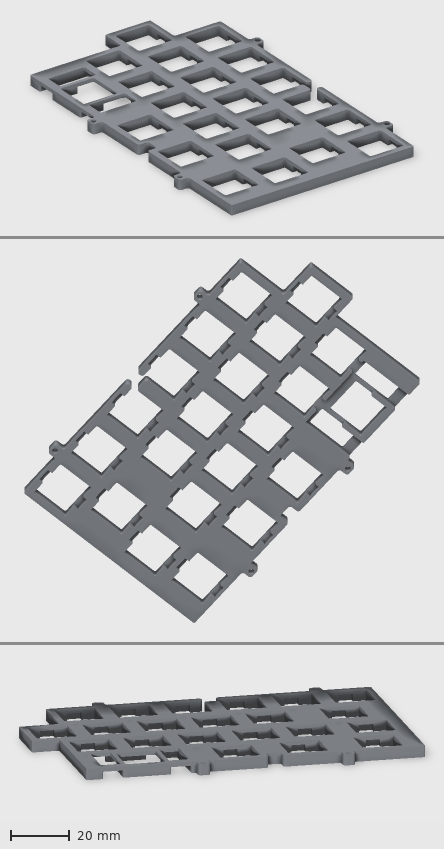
import cadquery as cq

PLATE_LENGTH = 128.5
OVERALL_DEPTH = 83.4
THICKNESS = 4.0
WEB = 1.4

KEYS_ACROSS = 6.75
ROWS = 4
EDGE_GAP = 0.05
PITCH = (PLATE_LENGTH + 2 * EDGE_GAP) / KEYS_ACROSS
PLATE_DEPTH = ROWS * PITCH - 2 * EDGE_GAP
KEY_CUTOUT = 14.0
CORNER_RADIUS = 0.5
SOFT_RADIUS = 1.0

ROW_KEYS = [
    [1.625, 3.375, 4.625, 6.0],
    [1.0, 2.0, 3.0, 4.0, 5.0, 6.125],
    [0.5, 1.5, 2.5, 3.5, 4.5, 5.875],
    [1.25, 2.25, 3.25, 4.25, 5.25, 6.25],
]
WIDE_KEY = (ROW_KEYS[0][0], 0)

LOWER_ROWS_INDENT = 0.5 * PITCH
TOP_ROW_INDENT = 0.75 * PITCH
TOP_STEP_DROP = 0.3

CLIP_WIDTH = 5.0
CLIP_DEPTH = 1.8

STABILIZER_OFFSET = 12.0
STABILIZER_WIDTH = 7.1
STABILIZER_FRONT = -6.0
STABILIZER_BACK = 9.0
POCKET_FRONT = 0.1
POCKET_BACK = 10.8

EAR_WIDTH = 4.1
EAR_LENGTH = (OVERALL_DEPTH - PLATE_DEPTH) / 2
EAR_HOLE = 2.0
EAR_HOLE_REACH = 2.2
BACK_EARS = [33.3, 109.5]
FRONT_EARS = [50.1, 101.0]

RIM_GAP_CENTER = 3.75 * PITCH - EDGE_GAP
RIM_GAP_WIDTH = PITCH - KEY_CUTOUT
RIM_GAP_DEPTH = 4.1
RIM_END_RADIUS = 1.2
FRONT_NOTCH_CENTER = 4 * PITCH - EDGE_GAP
FRONT_NOTCH_WIDTH = 5.3
FRONT_NOTCH_DEPTH = 4.0

OVERCUT = 1.3


def box(x_min, x_max, y_min, y_max, height=THICKNESS):
    """Box standing on the underside of the plate."""
    size = (x_max - x_min, y_max - y_min, height)
    return cq.Workplane("XY").box(*size, centered=False).translate((x_min, y_min, 0))


def key_center(column, row):
    """Centre of a key; the origin is the plate's front-left corner."""
    return column * PITCH - EDGE_GAP, (row + 0.5) * PITCH - EDGE_GAP


def round_corners(body, points, radius):
    """Fillet the vertical edges that stand at the given XY points."""
    reach = 0.01
    for x, y in points:
        corner = (x - reach, y - reach, -reach), (x + reach, y + reach, THICKNESS + reach)
        body = body.edges(cq.selectors.BoxSelector(*corner, boundingbox=True)).fillet(radius)
    return body


def make_outline():
    """Plate with its stepped left edge."""
    step_low = 2 * PITCH
    step_high = 3 * PITCH - TOP_STEP_DROP
    points = [
        (LOWER_ROWS_INDENT, 0),
        (PLATE_LENGTH, 0),
        (PLATE_LENGTH, PLATE_DEPTH),
        (TOP_ROW_INDENT, PLATE_DEPTH),
        (TOP_ROW_INDENT, step_high),
        (0, step_high),
        (0, step_low),
        (LOWER_ROWS_INDENT, step_low),
    ]
    plate = cq.Workplane("XY").polyline(points).close().extrude(THICKNESS)
    inner_corner = (TOP_ROW_INDENT, step_high)
    plate = round_corners(plate, [inner_corner], SOFT_RADIUS)
    others = [point for point in points if point != inner_corner]
    return round_corners(plate, others, CORNER_RADIUS)


def add_ear(plate, x, edge_y, outward):
    """Screw ear on the edge at edge_y; outward is +1 to the back or -1 to the front."""
    left, right = x - EAR_WIDTH / 2, x + EAR_WIDTH / 2
    root_y = edge_y - outward * OVERCUT
    tip_y = edge_y + outward * EAR_LENGTH
    plate = plate.union(box(left, right, min(root_y, tip_y), max(root_y, tip_y)))
    plate = round_corners(plate, [(left, tip_y), (right, tip_y)], SOFT_RADIUS)
    plate = round_corners(plate, [(left, edge_y), (right, edge_y)], SOFT_RADIUS)
    hole = cq.Workplane("XY").circle(EAR_HOLE / 2).extrude(THICKNESS)
    return plate.cut(hole.translate((x, edge_y + outward * EAR_HOLE_REACH, 0)))


def cut_front_notch(plate):
    """Open notch in the front edge, rounded inside and out."""
    left = FRONT_NOTCH_CENTER - FRONT_NOTCH_WIDTH / 2
    right = FRONT_NOTCH_CENTER + FRONT_NOTCH_WIDTH / 2
    plate = plate.cut(box(left, right, -OVERCUT, FRONT_NOTCH_DEPTH))
    corners = [(x, y) for x in (left, right) for y in (0, FRONT_NOTCH_DEPTH)]
    return round_corners(plate, corners, SOFT_RADIUS)


def cut_key(plate, column, row):
    """Square through cutout for one key switch."""
    x, y = key_center(column, row)
    half = KEY_CUTOUT / 2
    cutout = box(x - half, x + half, y - half, y + half)
    return plate.cut(cutout.edges("|Z").fillet(CORNER_RADIUS))


def cut_clip_notches(plate, column, row):
    """Clip pockets under the web at the front and back of one key."""
    x, y = key_center(column, row)
    reach = KEY_CUTOUT / 2 + CLIP_DEPTH
    pockets = box(x - CLIP_WIDTH / 2, x + CLIP_WIDTH / 2, y - reach, y + reach, THICKNESS - WEB)
    return plate.cut(pockets)


def cut_rim_gap(plate):
    """Open the back rim between the two middle keys and shorten the bar between them."""
    left, right = RIM_GAP_CENTER - RIM_GAP_WIDTH / 2, RIM_GAP_CENTER + RIM_GAP_WIDTH / 2
    bar_end = PLATE_DEPTH - RIM_GAP_DEPTH
    rim_inside = key_center(0, ROWS - 1)[1] + KEY_CUTOUT / 2
    plate = plate.cut(box(left, right, bar_end, PLATE_DEPTH + OVERCUT))
    spill = CORNER_RADIUS
    plate = plate.cut(box(left - spill, right + spill, bar_end, rim_inside))
    rim_ends = [(x, y) for x in (left, right) for y in (rim_inside, PLATE_DEPTH)]
    plate = round_corners(plate, rim_ends, RIM_END_RADIUS)
    return round_corners(plate, [(left, bar_end), (right, bar_end)], SOFT_RADIUS)


def cut_stabilizer(plate):
    """Two stabilizer slots, their channels to the front edge and the pocket that joins them."""
    x, y = key_center(*WIDE_KEY)
    depth = THICKNESS - WEB
    half = STABILIZER_WIDTH / 2
    back = y + POCKET_BACK
    pocket = box(x - STABILIZER_OFFSET, x + STABILIZER_OFFSET, y + POCKET_FRONT, back, depth)
    for slot_x in (x - STABILIZER_OFFSET, x + STABILIZER_OFFSET):
        left, right = slot_x - half, slot_x + half
        slot = box(left, right, y + STABILIZER_FRONT, y + STABILIZER_BACK)
        plate = plate.cut(slot.edges("|Z").fillet(CORNER_RADIUS))
        pocket = pocket.union(box(left, right, -OVERCUT, back, depth))
    plate = plate.cut(pocket.edges("|Z").edges(">Y").fillet(CORNER_RADIUS))
    for slot_x in (x - STABILIZER_OFFSET, x + STABILIZER_OFFSET):
        mouth = [(slot_x - half, 0), (slot_x + half, 0)]
        plate = round_corners(plate, mouth, CORNER_RADIUS)
    return plate


plate = make_outline()
for ear_x in BACK_EARS:
    plate = add_ear(plate, ear_x, PLATE_DEPTH, 1)
for ear_x in FRONT_EARS:
    plate = add_ear(plate, ear_x, 0, -1)
plate = cut_front_notch(plate)
for row, columns in enumerate(ROW_KEYS):
    for column in columns:
        plate = cut_key(plate, column, row)
plate = cut_rim_gap(plate)
plate = cut_stabilizer(plate)
for row, columns in enumerate(ROW_KEYS):
    for column in columns:
        if (column, row) != WIDE_KEY:
            plate = cut_clip_notches(plate, column, row)

result = plate